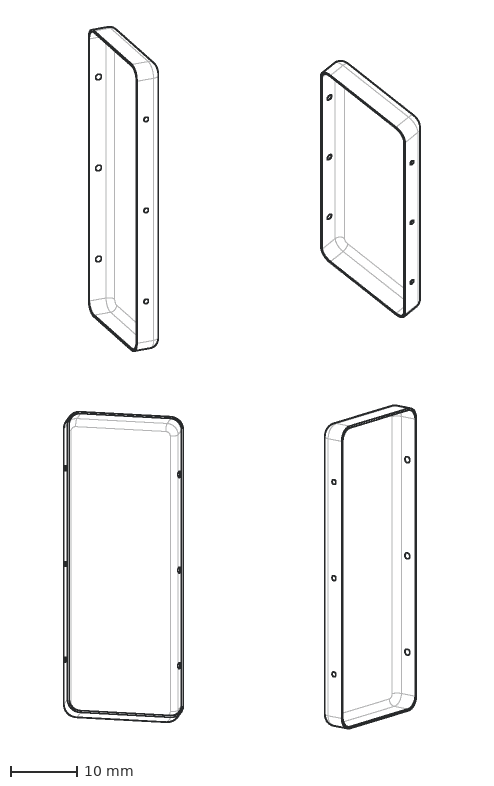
import cadquery as cq
import math

width = 17.9
depth = 4.0
height = 47.2
wall = 0.3
corner_radius = 2.0
outer_edge_radius = 1.3
inner_edge_radius = 1.0

dimple_radius = 0.4
bump_radius = 0.45
detent_pitch = 15.0
detent_from_rim = 1.5
detent_depth = 0.25


def rounded_block(inset, block_depth, edge_radius):
    """Block from the rim toward +Y, with rounded corners and rounded +Y edges."""
    block = cq.Workplane("XY").box(width - 2 * inset, block_depth, height - 2 * inset)
    block = block.edges("|Y").fillet(corner_radius - inset)
    block = block.faces(">Y").edges().fillet(edge_radius)
    return block.translate((0, block_depth / 2, 0))


def domed_pin(side, radius, face_x, base_length, z):
    """Domed pin pointing inward, its round edge on face_x and its base base_length further out."""
    dome_radius = (radius**2 + detent_depth**2) / (2 * detent_depth)
    half_angle = math.asin(radius / dome_radius) / 2
    arc_middle = (
        side * (face_x - detent_depth + dome_radius * (1 - math.cos(half_angle))),
        dome_radius * math.sin(half_angle),
    )
    base_x = side * (face_x + base_length)
    profile = (
        cq.Workplane("XY")
        .moveTo(side * (face_x - detent_depth), 0)
        .threePointArc(arc_middle, (side * face_x, radius))
        .lineTo(base_x, radius)
        .lineTo(base_x, 0)
        .close()
    )
    return profile.revolve(360, (0, 0, 0), (1, 0, 0)).translate((0, detent_from_rim, z))


outer_body = rounded_block(0, depth, outer_edge_radius)
cavity = rounded_block(wall, depth - wall, inner_edge_radius)
result = outer_body.cut(cavity)

for side in (-1, 1):
    for row in (-1, 0, 1):
        z = row * detent_pitch
        bump = domed_pin(side, bump_radius, width / 2 - wall, wall / 2, z)
        dimple = domed_pin(side, dimple_radius, width / 2, wall, z)
        result = result.union(bump).cut(dimple)